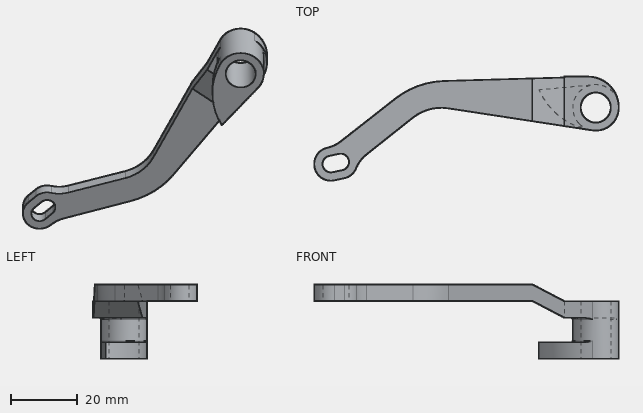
import cadquery as cq
import math

plate_thickness = 5.0
hub_height = 17.4
total_height = 22.5

hub_radius = 7.0
bore_radius = 4.5
neck_fillet = 0.5

head_side_y = 9.35
head_corner_radius = head_side_y

step_start_x = -19.1
step_end_x = -9.4

upper_bend = (-53.8, 7.8)
lower_bend = (-50.3, 0.6)
arm_head_y = 9.1
upper_bend_radius = 25.0
lower_bend_radius = 13.8
tail_angle = 38.0
tail_upper_offset = 4.2
tail_lower_offset = 3.8

pad_center = (-78.2, -16.7)
pad_angle = 12.0
slot_travel = 3.0
slot_radius = 2.5
pad_radius = 5.0
pad_blend_radius = 10.0

cam_tip = (-17.15, 5.4)


def hub_tangent(point, side):
    """Point where a line from `point` touches the hub; side is +1 or -1 around the hub axis."""
    distance = math.hypot(*point)
    angle = math.atan2(point[1], point[0]) + side * math.acos(hub_radius / distance)
    return (hub_radius * math.cos(angle), hub_radius * math.sin(angle))


def pad_offset(distance):
    """Point offset from the pad center, square to the tail of the arm."""
    angle = math.radians(tail_angle)
    return (
        pad_center[0] - distance * math.sin(angle),
        pad_center[1] + distance * math.cos(angle),
    )


def round_upright_edge(body, point, radius):
    """Fillet the vertical edge nearest to a point in plan."""
    nearest = cq.selectors.NearestToPointSelector((point[0], point[1], total_height / 2))
    return body.edges("|Z").edges(nearest).fillet(radius)


def long_slot(radius, height):
    """Round-ended upright prism centered on the pad."""
    return (
        cq.Workplane("XY")
        .center(*pad_center)
        .slot2D(slot_travel + 2 * radius, 2 * radius, pad_angle)
        .extrude(height)
    )


lower_tangent = hub_tangent(lower_bend, 1)


def arm_plan():
    """Full-height prism with the plan outline of the arm, the pad and the head."""
    arm = (
        cq.Workplane("XY")
        .polyline([
            pad_offset(tail_upper_offset),
            upper_bend,
            (step_end_x, arm_head_y),
            (0, 0),
            lower_tangent,
            lower_bend,
            pad_offset(-tail_lower_offset),
        ])
        .close()
        .extrude(total_height)
    )
    arm = round_upright_edge(arm, upper_bend, upper_bend_radius)
    arm = round_upright_edge(arm, lower_bend, lower_bend_radius)
    arm = arm.union(long_slot(pad_radius, total_height))

    for offset in (tail_upper_offset, -tail_lower_offset):
        side = pad_offset(offset)
        reach = math.sqrt(pad_radius**2 - offset**2) + slot_travel / 2
        angle = math.radians(tail_angle)
        joint = (side[0] + reach * math.cos(angle), side[1] + reach * math.sin(angle))
        arm = round_upright_edge(arm, joint, pad_blend_radius)

    along = (step_end_x - lower_bend[0]) / (lower_tangent[0] - lower_bend[0])
    head_lower_y = lower_bend[1] + along * (lower_tangent[1] - lower_bend[1])
    corner_center_x = hub_radius - head_corner_radius
    corner_mid = head_corner_radius * math.sqrt(0.5)
    head = (
        cq.Workplane("XY")
        .moveTo(step_end_x, head_lower_y)
        .lineTo(step_end_x, head_side_y)
        .lineTo(corner_center_x, head_side_y)
        .threePointArc((corner_center_x + corner_mid, corner_mid), (hub_radius, 0))
        .tangentArcPoint(lower_tangent, relative=False)
        .close()
        .extrude(total_height)
    )
    return arm.union(head)


def arm_profile():
    """Stepped side profile of the arm, wide enough in Y to cover its whole plan."""
    left = -91.7
    right = 9.2
    half_width = 27.5
    top = [
        (left, total_height),
        (step_start_x, total_height),
        (step_end_x, hub_height),
        (right, hub_height),
    ]
    bottom = [(x, z - plate_thickness) for x, z in reversed(top)]
    return cq.Workplane("XZ").polyline(top + bottom).close().extrude(half_width, both=True)


def cam_plate():
    """Pointed plate with a straight side and a curved side, both tangent to the hub."""
    straight_end = hub_tangent(cam_tip, -1)
    return (
        cq.Workplane("XY")
        .moveTo(*cam_tip)
        .lineTo(*straight_end)
        .threePointArc((hub_radius, 0), lower_tangent)
        .tangentArcPoint(cam_tip, relative=False)
        .close()
        .extrude(plate_thickness)
    )


def neck_flare(plate_face_z, direction):
    """Concave fillet ring around the hub where it meets a plate face."""
    outer = hub_radius + neck_fillet
    diagonal = neck_fillet * (1 - math.sqrt(0.5))
    far_z = plate_face_z + direction * neck_fillet
    return (
        cq.Workplane("XZ")
        .moveTo(0, plate_face_z)
        .lineTo(outer, plate_face_z)
        .threePointArc((hub_radius + diagonal, plate_face_z + direction * diagonal), (hub_radius, far_z))
        .lineTo(0, far_z)
        .close()
        .revolve(360, (0, 0), (0, 1))
    )


arm = arm_plan().intersect(arm_profile())
cam = cam_plate()
hub = cq.Workplane("XY").circle(hub_radius).extrude(hub_height)

head_bottom_z = hub_height - plate_thickness
upper_flare = neck_flare(head_bottom_z, -1).intersect(arm_plan())
cam_outline = cam.union(cam.translate((0, 0, plate_thickness)))
lower_flare = neck_flare(plate_thickness, 1).intersect(cam_outline)

bore = cq.Workplane("XY").circle(bore_radius).extrude(hub_height)
result = (
    arm.union(hub)
    .union(cam)
    .union(upper_flare)
    .union(lower_flare)
    .cut(bore)
    .cut(long_slot(slot_radius, total_height))
)